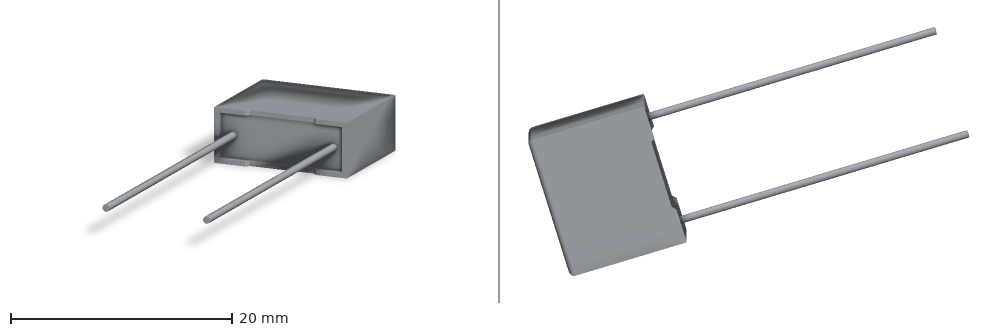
import cadquery as cq

CASE_WIDTH = 13.2
CASE_HEIGHT = 5.22
CASE_DEPTH = 11.0
WALL = 0.45
BACK_EDGE_RADIUS = 0.5

NOTCH_WIDTH = 7.0
NOTCH_DEPTH = 0.35

FILLING_RECESS = 0.65

TOTAL_LENGTH = 38.1
LEAD_DIAMETER = 0.7
LEAD_PITCH = 10.0

FILLING_FACE = FILLING_RECESS
CAVITY_END = CASE_DEPTH - WALL
LEAD_TIP = CASE_DEPTH - TOTAL_LENGTH

CAVITY_WIDTH = CASE_WIDTH - 2 * WALL
CAVITY_HEIGHT = CASE_HEIGHT - 2 * WALL


def block(width, height, y_start, y_end):
    """Box centred on the Y axis and spanning y_start to y_end."""
    depth = y_end - y_start
    return cq.Workplane("XY").box(width, depth, height).translate((0, y_start + depth / 2, 0))


def rim_notch():
    """Trapezoidal cutter that passes through both long walls."""
    half_mouth = NOTCH_WIDTH / 2
    half_floor = half_mouth - NOTCH_DEPTH
    outline = [
        (-half_mouth, 0),
        (half_mouth, 0),
        (half_floor, NOTCH_DEPTH),
        (-half_floor, NOTCH_DEPTH),
    ]
    return cq.Workplane("XY").polyline(outline).close().extrude(CASE_HEIGHT / 2, both=True)


def make_case():
    """Notched case with a rounded back and an open cavity."""
    shell = block(CASE_WIDTH, CASE_HEIGHT, 0, CASE_DEPTH)
    shell = shell.faces(">Y").edges().fillet(BACK_EDGE_RADIUS)
    cavity = block(CAVITY_WIDTH, CAVITY_HEIGHT, 0, CAVITY_END)
    return shell.cut(cavity).cut(rim_notch())


def make_filling():
    """Solid block that fills the cavity behind the recess."""
    return block(CAVITY_WIDTH, CAVITY_HEIGHT, FILLING_FACE, CAVITY_END)


def make_lead(x):
    """Straight round wire from the face of the filling to the tip."""
    section = cq.Workplane("XZ", origin=(x, FILLING_FACE, 0)).circle(LEAD_DIAMETER / 2)
    return section.extrude(FILLING_FACE - LEAD_TIP)


case = make_case()
filling = make_filling()
leads = [make_lead(side * LEAD_PITCH / 2) for side in (-1, 1)]

result = cq.Compound.makeCompound([case.val(), filling.val(), *[lead.val() for lead in leads]])